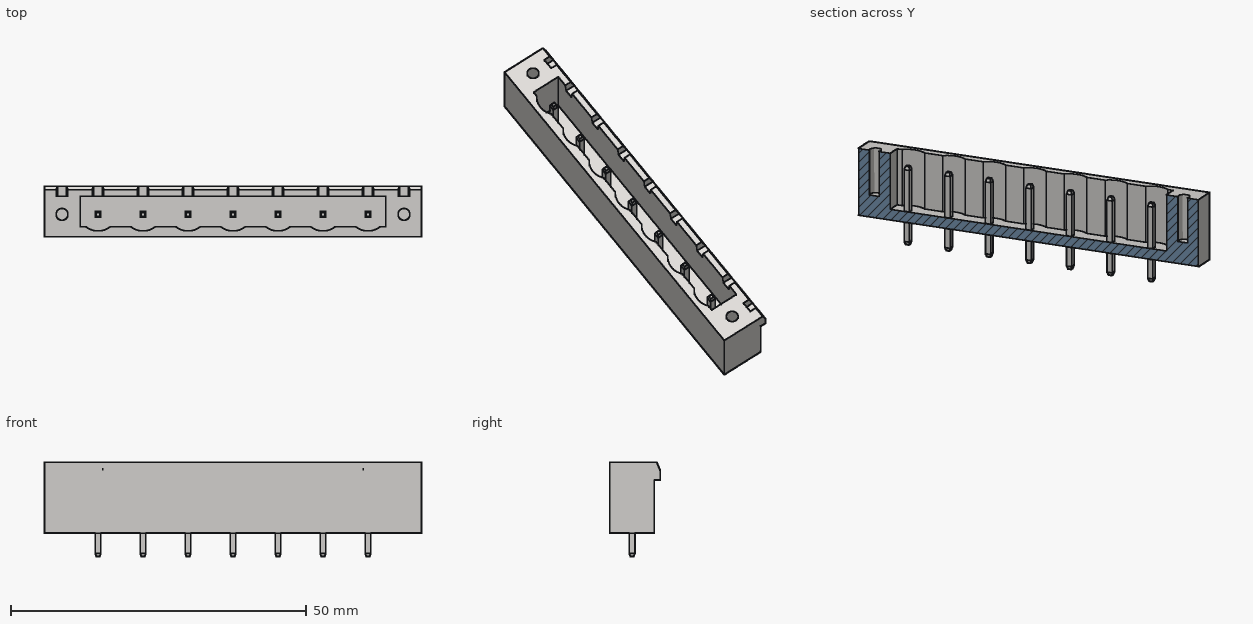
import cadquery as cq


pin_count = 7
pitch = 7.62
pin_side = 1.0
pin_tail = 4.0
pin_top = 10.0
pin_tip_height = 0.6
pin_tip_inset = 0.2

end_margin = 9.1
housing_height = 12.0
front_y = -3.8
housing_depth = 7.6

lip_projection = 1.0
lip_height = 3.05
lip_bevel_depth = 0.6
lip_bevel_height = 1.45

cavity_end_margin = 3.05
wall = 1.73
floor_thickness = 2.0
scallop_depth = 0.75
scallop_width = 4.2

notch_top_width = 2.0
notch_bottom_width = 1.5
notch_depth = 1.5

flange_offset = 6.1
screw_diameter = 2.0
screw_depth = 8.0

row_length = (pin_count - 1) * pitch
housing_length = row_length + 2 * end_margin
back_y = front_y + housing_depth
lip_y = back_y + lip_projection
cavity_half_length = row_length / 2 + cavity_end_margin
cavity_front_y = front_y + wall
cavity_back_y = lip_y - wall
flange_x = row_length / 2 + flange_offset
pin_xs = [i * pitch - row_length / 2 for i in range(pin_count)]
flange_xs = [-flange_x, flange_x]


def housing_block():
    """Side profile with the bevelled lip, extruded along the row."""
    lip_bottom = housing_height - lip_height
    return (
        cq.Workplane("YZ", origin=(-housing_length / 2, 0, 0))
        .moveTo(front_y, 0)
        .lineTo(back_y, 0)
        .lineTo(back_y, lip_bottom)
        .lineTo(lip_y, lip_bottom)
        .lineTo(lip_y, housing_height - lip_bevel_height)
        .lineTo(lip_y - lip_bevel_depth, housing_height)
        .lineTo(front_y, housing_height)
        .close()
        .extrude(housing_length)
    )


def cavity():
    """Open-topped pocket whose front wall bulges outwards in an arc at each pin."""
    outline = (
        cq.Workplane("XY", origin=(0, 0, floor_thickness))
        .moveTo(-cavity_half_length, cavity_back_y)
        .lineTo(-cavity_half_length, cavity_front_y)
    )
    for x in pin_xs:
        outline = outline.lineTo(x - scallop_width / 2, cavity_front_y).threePointArc(
            (x, cavity_front_y - scallop_depth),
            (x + scallop_width / 2, cavity_front_y),
        )
    return (
        outline.lineTo(cavity_half_length, cavity_front_y)
        .lineTo(cavity_half_length, cavity_back_y)
        .close()
        .extrude(housing_height - floor_thickness)
    )


def notch(x):
    """Flared slot through the thickness of the back wall, open at the top."""
    bottom = housing_height - notch_depth
    return (
        cq.Workplane("XZ", origin=(x, lip_y, 0))
        .moveTo(-notch_bottom_width / 2, bottom)
        .lineTo(notch_bottom_width / 2, bottom)
        .lineTo(notch_top_width / 2, housing_height)
        .lineTo(-notch_top_width / 2, housing_height)
        .close()
        .extrude(wall)
    )


def pin(x):
    """Square pin with bevelled tips at both ends."""
    length = pin_tail + pin_top
    return (
        cq.Workplane("XY", origin=(x, 0, -pin_tail))
        .rect(pin_side, pin_side)
        .extrude(length)
        .faces("<Z or >Z")
        .chamfer(pin_tip_height, pin_tip_inset)
    )


def screw_hole(x):
    """Blind bore down from the top of a flange."""
    bottom = housing_height - screw_depth
    return cq.Workplane("XY", origin=(x, 0, bottom)).circle(screw_diameter / 2).extrude(screw_depth)


result = housing_block().cut(cavity())
for x in pin_xs + flange_xs:
    result = result.cut(notch(x))
for x in flange_xs:
    result = result.cut(screw_hole(x))
for x in pin_xs:
    result = result.union(pin(x))